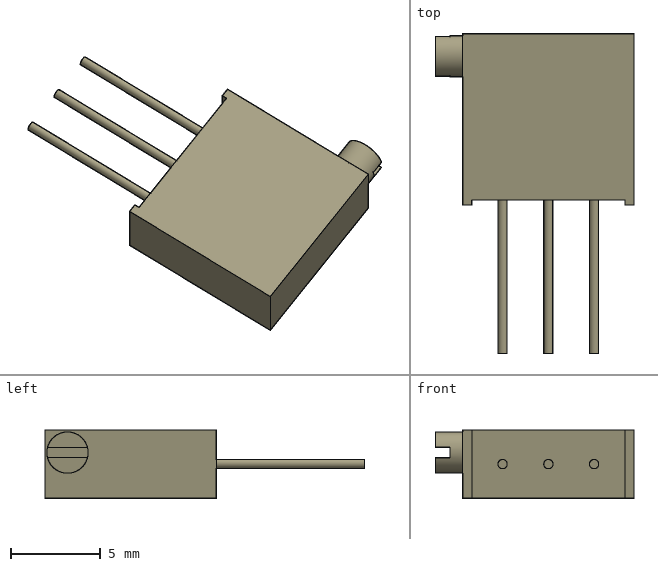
import cadquery as cq

total_length = 17.78
body_side = 9.53
body_height = 3.8

foot_width = 0.52
foot_depth = 0.28

pin_diameter = 0.52
pin_pitch = 2.55
pin_count = 3

screw_diameter = 2.3
screw_length = 1.51
screw_inset = 1.26
slot_width = 0.57
slot_depth = 0.8

body_front = -body_side / 2
body_left = -body_side / 2
body_back = body_side / 2
recess_face = body_front + foot_depth
pin_tip = body_back - total_length
screw_y = body_back - screw_inset
screw_z = body_height / 2 - screw_inset


def make_body():
    """Square block with a shallow recess between two feet on the pin face."""
    block = cq.Workplane("XY").box(body_side, body_side, body_height)
    recess = cq.Workplane("XY").box(
        body_side - 2 * foot_width, foot_depth, body_height
    ).translate((0, body_front + foot_depth / 2, 0))
    return block.cut(recess)


def make_pin(x):
    """Round pin running from the recessed face toward -Y."""
    return (
        cq.Workplane("XZ", origin=(x, recess_face, 0))
        .circle(pin_diameter / 2)
        .extrude(recess_face - pin_tip)
    )


def make_screw():
    """Screw head pointing toward -X, with a slot along Y across its end."""
    head = (
        cq.Workplane("YZ", origin=(body_left, screw_y, screw_z))
        .circle(screw_diameter / 2)
        .extrude(-screw_length)
    )
    slot_x = body_left - screw_length + slot_depth / 2
    slot = cq.Workplane("XY").box(slot_depth, screw_diameter, slot_width)
    return head.cut(slot.translate((slot_x, screw_y, screw_z)))


result = make_body().union(make_screw())
for index in range(pin_count):
    pin_x = (index - (pin_count - 1) / 2) * pin_pitch
    result = result.union(make_pin(pin_x))